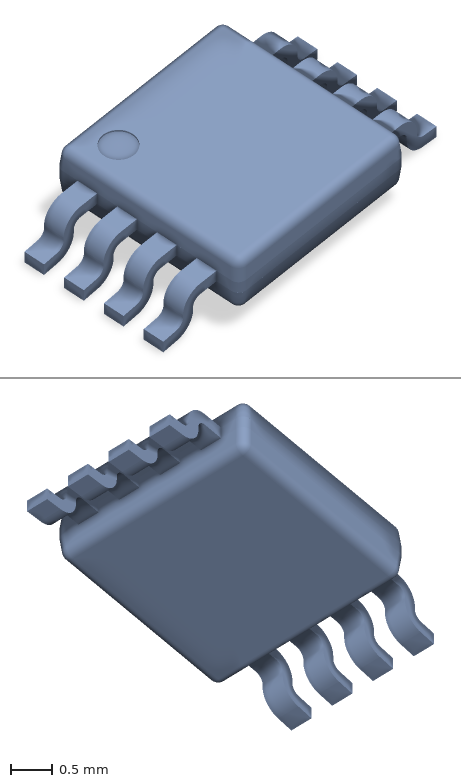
import cadquery as cq
import math

body_side = 3.0
body_bottom = 0.175
body_top = 1.01
draft_angle = 5.5
edge_radius = 0.13

metal_thickness = 0.18
leads_per_side = 4
lead_pitch = 0.65
lead_width = 0.32
tip_reach = 2.455
first_bend_start = 1.79
inner_bend_radius = 0.13
foot_tilt = math.radians(4.0)

mark_diameter = 0.505
mark_offset = 0.955
mark_depth = 0.025

body_middle = (body_bottom + body_top) / 2
plate_bottom = body_middle - metal_thickness / 2
plate_top = body_middle + metal_thickness / 2
shell_height = body_top - plate_top
outer_bend_radius = inner_bend_radius + metal_thickness


def make_shell():
    """Half of the package, narrowing upward from Z = 0, with rounded corners and top edges."""
    return (
        cq.Workplane("XY")
        .rect(body_side, body_side)
        .extrude(shell_height, taper=draft_angle)
        .faces("not <Z")
        .edges("not <Z")
        .fillet(edge_radius)
    )


def make_upper_shell():
    mark = (
        cq.Workplane("XY")
        .workplane(offset=body_top - mark_depth)
        .center(-mark_offset, -mark_offset)
        .circle(mark_diameter / 2)
        .extrude(mark_depth)
    )
    return make_shell().translate((0, 0, plate_top)).cut(mark)


def make_lower_shell():
    return make_shell().mirror("XY").translate((0, 0, plate_bottom))


def make_lead():
    """Gull-wing lead at X = 0 that leaves the plate toward +Y and stands on Z = 0."""
    plate_edge = body_side / 2
    riser_outer_face = first_bend_start + outer_bend_radius
    riser_inner_face = first_bend_start + inner_bend_radius
    first_center_z = plate_top - outer_bend_radius

    second_center_y = riser_outer_face + inner_bend_radius
    sole_start_y = second_center_y - outer_bend_radius * math.sin(foot_tilt)
    sole_start_z = (tip_reach - sole_start_y) * math.tan(foot_tilt)
    second_center_z = sole_start_z + outer_bend_radius * math.cos(foot_tilt)
    tip_height = metal_thickness / math.cos(foot_tilt)

    def first_bend_point(radius, angle):
        """Point at an angle from +Y on the bend below the plate."""
        return (first_bend_start + radius * math.cos(angle), first_center_z + radius * math.sin(angle))

    def second_bend_point(radius, angle):
        """Point at an angle from -Y, turning toward -Z, on the bend above the foot."""
        return (second_center_y - radius * math.cos(angle), second_center_z - radius * math.sin(angle))

    first_half_turn = math.pi / 4
    second_turn = math.pi / 2 - foot_tilt

    return (
        cq.Workplane("YZ")
        .moveTo(plate_edge, plate_top)
        .lineTo(first_bend_start, plate_top)
        .threePointArc(
            first_bend_point(outer_bend_radius, first_half_turn),
            (riser_outer_face, first_center_z),
        )
        .lineTo(riser_outer_face, second_center_z)
        .threePointArc(
            second_bend_point(inner_bend_radius, second_turn / 2),
            second_bend_point(inner_bend_radius, second_turn),
        )
        .lineTo(tip_reach, tip_height)
        .lineTo(tip_reach, 0)
        .lineTo(sole_start_y, sole_start_z)
        .threePointArc(
            second_bend_point(outer_bend_radius, second_turn / 2),
            (riser_inner_face, second_center_z),
        )
        .lineTo(riser_inner_face, first_center_z)
        .threePointArc(
            first_bend_point(inner_bend_radius, first_half_turn),
            (first_bend_start, plate_bottom),
        )
        .lineTo(plate_edge, plate_bottom)
        .close()
        .extrude(lead_width / 2, both=True)
    )


def make_lead_frame():
    """Plate and its two rows of leads, in one piece."""
    frame = (
        cq.Workplane("XY")
        .workplane(offset=plate_bottom)
        .rect(body_side, body_side)
        .extrude(metal_thickness)
        .edges("|Z")
        .fillet(edge_radius)
    )
    back_lead = make_lead()
    front_lead = back_lead.mirror("XZ")
    for index in range(leads_per_side):
        lead_x = (index - (leads_per_side - 1) / 2) * lead_pitch
        for lead in (back_lead, front_lead):
            frame = frame.union(lead.translate((lead_x, 0, 0)))
    return frame


upper_shell = make_upper_shell()
lead_frame = make_lead_frame()
lower_shell = make_lower_shell()

result = cq.Compound.makeCompound([upper_shell.val(), lead_frame.val(), lower_shell.val()])